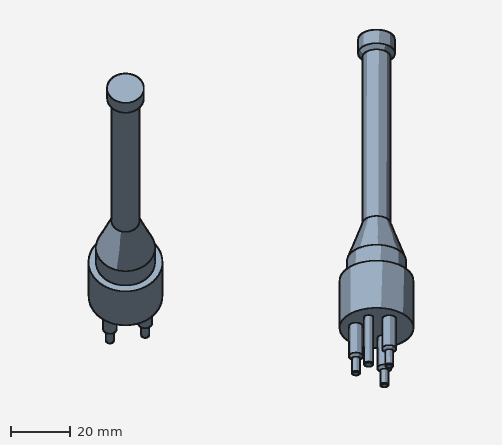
import cadquery as cq
import math

flange_diameter = 25.0
flange_height = 19.0
collar_diameter = 20.0
collar_height = 8.0
taper_height = 15.0
stem_diameter = 9.5
head_diameter = 12.5
head_height = 7.0
body_height = 116.0

pin_length = 19.0
pin_circle_radius = 7.0
stepped_pin_angles = (-90.0, 30.0, 150.0)
straight_pin_angle = 90.0
pin_shank_diameter = 4.8
pin_shank_length = 12.0
pin_tip_diameter = 2.8
straight_pin_diameter = 3.2
pin_end_chamfer = 0.3


def revolve_profile(points):
    """Revolve a closed outline of (radius, z) points about the Z axis."""
    return cq.Workplane("XZ").polyline(points).close().revolve(360, (0, 0, 0), (0, 1, 0))


def make_body():
    """Flange, collar, tapered neck, slender stem and head with a 45 degree underside."""
    flange_radius = flange_diameter / 2
    collar_radius = collar_diameter / 2
    stem_radius = stem_diameter / 2
    head_radius = head_diameter / 2
    collar_top = flange_height + collar_height
    taper_top = collar_top + taper_height
    head_bottom = body_height - head_height
    head_rim_bottom = head_bottom + head_radius - stem_radius
    return revolve_profile([
        (0, 0),
        (flange_radius, 0),
        (flange_radius, flange_height),
        (collar_radius, flange_height),
        (collar_radius, collar_top),
        (stem_radius, taper_top),
        (stem_radius, head_bottom),
        (head_radius, head_rim_bottom),
        (head_radius, body_height),
        (0, body_height),
    ])


def make_stepped_pin():
    """Thick shank with a 45 degree shoulder down to a slimmer tip."""
    shank_radius = pin_shank_diameter / 2
    tip_radius = pin_tip_diameter / 2
    shoulder_end = pin_shank_length + shank_radius - tip_radius
    return revolve_profile([
        (0, 0),
        (shank_radius, 0),
        (shank_radius, -pin_shank_length),
        (tip_radius, -shoulder_end),
        (tip_radius, -pin_length + pin_end_chamfer),
        (tip_radius - pin_end_chamfer, -pin_length),
        (0, -pin_length),
    ])


def make_straight_pin():
    """Plain pin of one diameter with a chamfered end."""
    pin = cq.Workplane("XY").circle(straight_pin_diameter / 2).extrude(-pin_length)
    return pin.faces("<Z").chamfer(pin_end_chamfer)


def place_on_pin_circle(pin, angle):
    """Move a pin from the axis to its angle on the pin circle."""
    x = pin_circle_radius * math.cos(math.radians(angle))
    y = pin_circle_radius * math.sin(math.radians(angle))
    return pin.translate((x, y, 0))


result = make_body()
for stepped_pin_angle in stepped_pin_angles:
    result = result.union(place_on_pin_circle(make_stepped_pin(), stepped_pin_angle))
result = result.union(place_on_pin_circle(make_straight_pin(), straight_pin_angle))